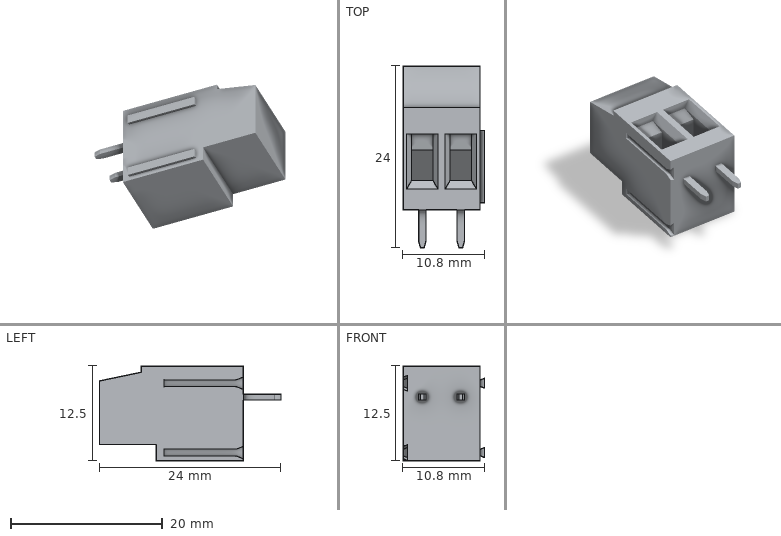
import cadquery as cq


POLES = 2
PITCH = 5.08
WIDTH = POLES * PITCH
HEIGHT = 12.5
LENGTH = 19.0
TOP_LENGTH = 13.5
SHOULDER_Z = 11.7
REAR_Z = 10.55
FOOT_LENGTH = 11.5
FOOT_HEIGHT = 2.15

DOVETAIL_HEIGHTS = (1.09, 10.24)
DOVETAIL_DEPTH = 0.6
DOVETAIL_NECK = 0.88
DOVETAIL_WIDE = 1.32
DOVETAIL_END = 10.5
LEAD_IN = 0.95
LEAD_IN_FLARE = 0.76

PIN_LENGTH = 5.0
PIN_WIDTH = 1.0
PIN_THICKNESS = 0.8
PIN_TIP_WIDTH = 0.5
PIN_TAPER = 0.88
PIN_Z = 8.4

POCKET_WIDTH = 4.14
POCKET_FRONT = 2.76
POCKET_REAR = 10.0
THROAT_WIDTH = 2.8
THROAT_FRONT = 3.92
THROAT_Z = HEIGHT - 1.2
LEDGE_FRONT = 7.9
LEDGE_FRONT_Z = THROAT_Z - 0.55
POCKET_FLOOR_Z = HEIGHT / 2


def make_housing():
    side_outline = [
        (0, 0),
        (FOOT_LENGTH, 0),
        (FOOT_LENGTH, FOOT_HEIGHT),
        (LENGTH, FOOT_HEIGHT),
        (LENGTH, REAR_Z),
        (TOP_LENGTH, SHOULDER_Z),
        (TOP_LENGTH, HEIGHT),
        (0, HEIGHT),
    ]
    return cq.Workplane("YZ").polyline(side_outline).close().extrude(WIDTH)


def dovetail_wire(x_neck, y, z_center, extra_width=0.0):
    """Dovetail section in the XZ plane at y, widening towards +X from its neck."""
    neck = (DOVETAIL_NECK + extra_width) / 2
    wide = (DOVETAIL_WIDE + extra_width) / 2
    x_wide = x_neck + DOVETAIL_DEPTH
    corners = [
        (x_neck, z_center - neck),
        (x_wide, z_center - wide),
        (x_wide, z_center + wide),
        (x_neck, z_center + neck),
    ]
    points = [cq.Vector(x, y, z) for x, z in corners]
    return cq.Wire.makePolygon(points, close=True)


def dovetail_bar(x_neck, z_center, y_start):
    section = dovetail_wire(x_neck, y_start, z_center)
    run = cq.Vector(0, DOVETAIL_END - y_start, 0)
    return cq.Workplane(cq.Solid.extrudeLinear(section, [], run))


def make_rib(z_center):
    return dovetail_bar(WIDTH, z_center, LEAD_IN)


def make_groove(z_center):
    mouth = dovetail_wire(0, 0, z_center, LEAD_IN_FLARE)
    mouth_end = dovetail_wire(0, LEAD_IN, z_center)
    flare = cq.Workplane(cq.Solid.makeLoft([mouth, mouth_end], True))
    return dovetail_bar(0, z_center, LEAD_IN).union(flare)


def make_pin(x_center):
    half = PIN_WIDTH / 2
    half_tip = PIN_TIP_WIDTH / 2
    taper_y = PIN_TAPER - PIN_LENGTH
    plan_outline = [
        (x_center - half, 0),
        (x_center - half, taper_y),
        (x_center - half_tip, -PIN_LENGTH),
        (x_center + half_tip, -PIN_LENGTH),
        (x_center + half, taper_y),
        (x_center + half, 0),
    ]
    underside = cq.Workplane("XY", origin=(0, 0, PIN_Z - PIN_THICKNESS / 2))
    return underside.polyline(plan_outline).close().extrude(PIN_THICKNESS)


def pocket_rectangle(x_center, width, y_front, z):
    """Rectangle at height z that ends at the common rear wall of the pocket."""
    x_left = x_center - width / 2
    x_right = x_center + width / 2
    points = [
        cq.Vector(x_left, y_front, z),
        cq.Vector(x_right, y_front, z),
        cq.Vector(x_right, POCKET_REAR, z),
        cq.Vector(x_left, POCKET_REAR, z),
    ]
    return cq.Wire.makePolygon(points, close=True)


def make_pocket(x_center):
    """Funnel narrowing on three sides, over a straight shaft with a sloped rear ledge."""
    opening = pocket_rectangle(x_center, POCKET_WIDTH, POCKET_FRONT, HEIGHT)
    throat = pocket_rectangle(x_center, THROAT_WIDTH, THROAT_FRONT, THROAT_Z)
    funnel = cq.Workplane(cq.Solid.makeLoft([opening, throat], True))

    shaft_outline = [
        (THROAT_FRONT, POCKET_FLOOR_Z),
        (LEDGE_FRONT, POCKET_FLOOR_Z),
        (LEDGE_FRONT, LEDGE_FRONT_Z),
        (POCKET_REAR, THROAT_Z),
        (THROAT_FRONT, THROAT_Z),
    ]
    left_side = cq.Workplane("YZ", origin=(x_center - THROAT_WIDTH / 2, 0, 0))
    shaft = left_side.polyline(shaft_outline).close().extrude(THROAT_WIDTH)
    return funnel.union(shaft)


result = make_housing()

for dovetail_z in DOVETAIL_HEIGHTS:
    result = result.union(make_rib(dovetail_z)).cut(make_groove(dovetail_z))

for pole in range(POLES):
    pole_x = (pole + 0.5) * PITCH
    result = result.union(make_pin(pole_x)).cut(make_pocket(pole_x))